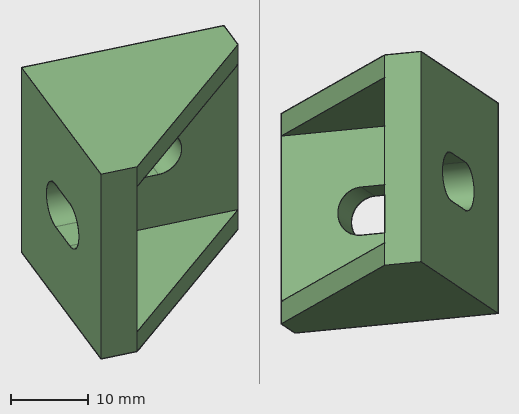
import cadquery as cq

side = 28.0
height = 28.0
wall = 5.0
web = 3.0

slot_width = 6.4
slot_travel = 5.0
slot_length = slot_travel + slot_width
slot_offset = 14.5
slot_height = height / 2


def bracket_block():
    """Square prism with the corner opposite the walls cut off diagonally."""
    outline = [(0, 0), (side, 0), (side, wall), (wall, side), (0, side)]
    return cq.Workplane("XY").polyline(outline).close().extrude(height)


def pocket():
    """Triangular space between the walls and webs, open on the diagonal side."""
    outline = [(wall, wall), (side, wall), (wall, side)]
    pocket_height = height - 2 * web
    return cq.Workplane("XY", origin=(0, 0, web)).polyline(outline).close().extrude(pocket_height)


def wall_slot(plane, centre, depth):
    """Horizontal slot drawn on a wall's outer face and carried through the wall."""
    return cq.Workplane(plane, origin=centre).slot2D(slot_length, slot_width).extrude(depth)


y_wall_slot = wall_slot("XZ", (slot_offset, 0, slot_height), -wall)
x_wall_slot = wall_slot("YZ", (0, slot_offset, slot_height), wall)

result = bracket_block().cut(pocket()).cut(y_wall_slot).cut(x_wall_slot)